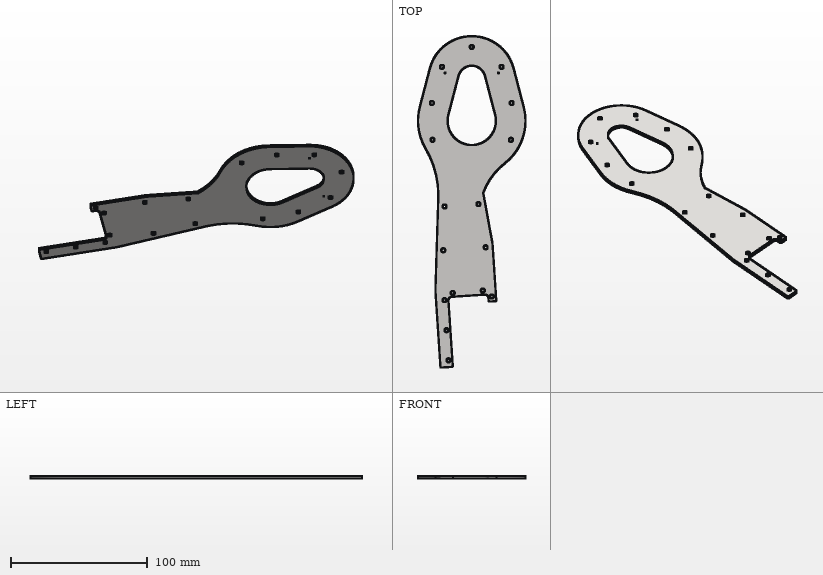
import cadquery as cq
import math

thickness = 2.0
overall_length = 242.5
head_width = 78.8

band = 21.8
wide_radius = head_width / 2
crown_radius = 31.8
crown_y = 30.3
head_top_y = crown_y + crown_radius
plate_bottom_y = head_top_y - overall_length

neck_left = (-24.5, -54.0)
neck_left_radius = 68.5
neck_right = (8.5, -52.6)
neck_right_radius = 48.5

elbow = (-26.7, -124.2)
foot_angle = math.radians(3.8)
foot_width = 44.1
shoulder_height = 31.5
tip_corner_radius = 1.0
tip_lift = tip_corner_radius * (math.cos(foot_angle) + math.sin(foot_angle) - 1)
arm_length = (elbow[1] - plate_bottom_y + tip_lift) / math.cos(foot_angle)
arm_width = 9.2
notch_level = -5.3
lug_width = 5.8
lug_level = -10.7
notch_corner_radius = 2.5

hole_diameter = 2.7
pin_diameter = 0.5
crown_hole = (0, 54.0)
head_side_holes = [(21.8, 39.5), (29.0, 13.0), (28.5, -13.8)]
pin_hole = (19.5, 35.2)
neck_holes = [(-20.0, -62.5), (4.9, -61.0), (-20.9, -94.5), (10.2, -92.5)]
arm_hole_inset = 6.3
arm_hole_start = -7.3
arm_hole_pitch = 22.0
arm_hole_count = 3
notch_holes = [(12.5, -2.5), (34.7, -2.2), (41.0, -7.0)]


def foot_point(across, along):
    """Convert a position in the rotated foot frame to plate coordinates."""
    cosine, sine = math.cos(foot_angle), math.sin(foot_angle)
    return (elbow[0] + across * cosine - along * sine,
            elbow[1] + across * sine + along * cosine)


def polar(centre, radius, angle):
    return (centre[0] + radius * math.cos(angle), centre[1] + radius * math.sin(angle))


def teardrop(lower_radius, upper_radius):
    """Two circles on the Y axis joined by their outer tangents."""
    tilt = math.asin((lower_radius - upper_radius) / crown_y)
    lower_x, lower_y = polar((0, 0), lower_radius, tilt)
    upper_x, upper_y = polar((0, crown_y), upper_radius, tilt)
    return (
        cq.Workplane("XY")
        .moveTo(lower_x, lower_y)
        .lineTo(upper_x, upper_y)
        .threePointArc((0, crown_y + upper_radius), (-upper_x, upper_y))
        .lineTo(-lower_x, lower_y)
        .threePointArc((0, -lower_radius), (lower_x, lower_y))
        .close()
        .extrude(thickness)
    )


def neck_arc(end, radius, side):
    """Start and middle of an arc tangent to the head circle and finishing at end.

    side is +1 for the right edge and -1 for the left edge.
    """
    end_distance = math.hypot(*end)
    centre_distance = wide_radius + radius
    cosine = (centre_distance**2 + end_distance**2 - radius**2) / (2 * centre_distance * end_distance)
    centre_angle = math.atan2(end[1], end[0]) + side * math.acos(cosine)
    centre = polar((0, 0), centre_distance, centre_angle)
    start = polar((0, 0), wide_radius, centre_angle)
    chord_middle = ((start[0] + end[0]) / 2, (start[1] + end[1]) / 2)
    middle_angle = math.atan2(chord_middle[1] - centre[1], chord_middle[0] - centre[0])
    return start, polar(centre, radius, middle_angle)


def round_corners(body, corners, radius):
    for x, y in corners:
        corner = cq.selectors.NearestToPointSelector((x, y, thickness / 2))
        body = body.edges("|Z").edges(corner).fillet(radius)
    return body


def handle():
    """Neck and foot, overlapping the head up to its centre."""
    left_start, left_middle = neck_arc(neck_left, neck_left_radius, -1)
    right_start, right_middle = neck_arc(neck_right, neck_right_radius, 1)
    notch_right = foot_width - lug_width
    notch_corners = [foot_point(arm_width, notch_level), foot_point(notch_right, notch_level)]
    arm_tip = [foot_point(0, -arm_length), foot_point(arm_width, -arm_length)]
    lug_tip = [foot_point(notch_right, lug_level), foot_point(foot_width, lug_level)]
    body = (
        cq.Workplane("XY")
        .moveTo(0, 0)
        .lineTo(*left_start)
        .threePointArc(left_middle, neck_left)
        .lineTo(*elbow)
        .lineTo(*arm_tip[0])
        .lineTo(*arm_tip[1])
        .lineTo(*notch_corners[0])
        .lineTo(*notch_corners[1])
        .lineTo(*lug_tip[0])
        .lineTo(*lug_tip[1])
        .lineTo(*foot_point(foot_width, shoulder_height))
        .lineTo(*neck_right)
        .threePointArc(right_middle, right_start)
        .close()
        .extrude(thickness)
    )
    body = round_corners(body, notch_corners, notch_corner_radius)
    body = round_corners(body, arm_tip + lug_tip, tip_corner_radius)
    return body


def drills(points, diameter):
    return cq.Workplane("XY").pushPoints(points).circle(diameter / 2).extrude(thickness)


def mirrored(points):
    return [(side * x, y) for x, y in points for side in (-1, 1)]


arm_holes = [(arm_hole_inset, arm_hole_start - i * arm_hole_pitch) for i in range(arm_hole_count)]
foot_holes = [foot_point(*position) for position in arm_holes + notch_holes]
screw_holes = [crown_hole] + mirrored(head_side_holes) + neck_holes + foot_holes

head = teardrop(wide_radius, crown_radius)
opening = teardrop(wide_radius - band, crown_radius - band)

plate = head.union(handle()).cut(opening)
plate = plate.cut(drills(screw_holes, hole_diameter))
result = plate.cut(drills(mirrored([pin_hole]), pin_diameter))